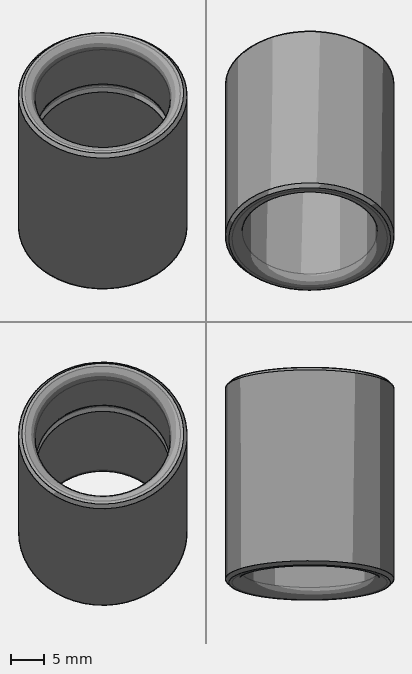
import cadquery as cq
import math

height = 30.0
outer_diameter = 25.0
bore_diameter = 20.0
edge_chamfer = 0.5
mouth_radius = 1.5

groove_top_depth = 9.12
groove_width = 1.77
flank_height = 0.6
flank_angle = 35.0

bore_radius = bore_diameter / 2


def make_sleeve():
    """Plain tube with chamfered outer edges and rounded bore mouths."""
    body = cq.Workplane("XY").circle(outer_diameter / 2).extrude(height)
    body = body.faces("<Z or >Z").chamfer(edge_chamfer)
    bore = cq.Workplane("XY").circle(bore_radius).extrude(height)
    tube = body.cut(bore)
    mouth_edges = tube.edges(cq.selectors.RadiusNthSelector(0))
    return mouth_edges.fillet(mouth_radius)


def make_groove():
    """Revolved cutter whose root arc is tangent to both flanks."""
    angle = math.radians(flank_angle)
    top = height - groove_top_depth
    bottom = top - groove_width
    middle = (top + bottom) / 2
    root_edge_radius = bore_radius + flank_height * math.tan(angle)
    root_half_height = groove_width / 2 - flank_height
    root_rise = root_half_height * math.tan(angle / 2)
    return (
        cq.Workplane("XZ")
        .moveTo(0, bottom)
        .lineTo(bore_radius, bottom)
        .lineTo(root_edge_radius, bottom + flank_height)
        .threePointArc(
            (root_edge_radius + root_rise, middle),
            (root_edge_radius, top - flank_height),
        )
        .lineTo(bore_radius, top)
        .lineTo(0, top)
        .close()
        .revolve(360, (0, 0, 0), (0, 1, 0))
    )


result = make_sleeve().cut(make_groove())